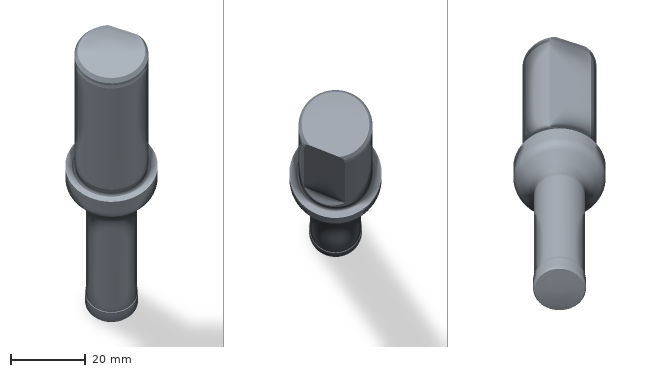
import cadquery as cq
import math

total_length = 110.0
shank_length = 49.8
collar_top = total_length - shank_length
collar_bottom = 55.0
head_length = 5.0

shank_radius = 20.0 / 2
groove_radius = 19.5 / 2
collar_radius = 25.0 / 2
stem_radius = 13.9 / 2
head_radius = 14.3 / 2

top_chamfer = 0.9
top_chamfer_height = 1.2
land_height = 0.3
groove_width = 2.0
groove_taper = 1.1
groove_corner = shank_radius - groove_radius

relief_width = 2.1
relief_taper = 0.7
relief_depth = 0.3
relief_fillet = 0.5
relief_outer_radius = 10.7

transition_angle = math.radians(45)
collar_arc_radius = 4.2
stem_arc_radius = 4.0

flat_offset = 8.0
flat_bottom = 65.3

head_chamfer = 0.4
head_chamfer_top = 1.0
point_height = 0.3


def arc_drop(radius, angle):
    """Axial distance covered by an arc that turns away from the axis direction."""
    return radius * math.sin(angle)


def arc_inset(radius, angle):
    """Radial distance covered by an arc that turns away from the axis direction."""
    return radius * (1 - math.cos(angle))


def revolve_about_z(profile):
    """Turn a closed profile in the XZ plane about the Z axis."""
    return profile.revolve(360, (0, 0, 0), (0, 1, 0))


def make_turned_holder():
    """Shank, collar and stem as one turned profile."""
    land_top = total_length - top_chamfer_height
    land_bottom = land_top - land_height
    groove_bottom = land_bottom - groove_width
    relief_top = collar_top + relief_width
    relief_floor = collar_top - relief_depth

    half_angle = transition_angle / 2
    collar_arc_middle = (
        collar_radius - arc_inset(collar_arc_radius, half_angle),
        collar_bottom - arc_drop(collar_arc_radius, half_angle),
    )
    cone_top = (
        collar_radius - arc_inset(collar_arc_radius, transition_angle),
        collar_bottom - arc_drop(collar_arc_radius, transition_angle),
    )
    cone_bottom_radius = stem_radius + arc_inset(stem_arc_radius, transition_angle)
    cone_height = (cone_top[0] - cone_bottom_radius) / math.tan(transition_angle)
    cone_bottom = (cone_bottom_radius, cone_top[1] - cone_height)
    stem_top = cone_bottom[1] - arc_drop(stem_arc_radius, transition_angle)
    stem_arc_middle = (
        stem_radius + arc_inset(stem_arc_radius, half_angle),
        stem_top + arc_drop(stem_arc_radius, half_angle),
    )

    profile = (
        cq.Workplane("XZ")
        .moveTo(0, total_length)
        .lineTo(shank_radius - top_chamfer, total_length)
        .lineTo(shank_radius, land_top)
        .lineTo(shank_radius, land_bottom)
        .lineTo(groove_radius, land_bottom - groove_corner)
        .lineTo(groove_radius, groove_bottom + groove_taper)
        .lineTo(shank_radius, groove_bottom)
        .lineTo(shank_radius, relief_top)
        .lineTo(groove_radius, relief_top - relief_taper)
        .lineTo(groove_radius, relief_floor + relief_fillet)
        .tangentArcPoint((groove_radius + relief_fillet, relief_floor), relative=False)
        .lineTo(relief_outer_radius, collar_top)
        .lineTo(collar_radius, collar_top)
        .lineTo(collar_radius, collar_bottom)
        .threePointArc(collar_arc_middle, cone_top)
        .lineTo(*cone_bottom)
        .threePointArc(stem_arc_middle, (stem_radius, stem_top))
        .lineTo(stem_radius, head_length)
        .lineTo(0, head_length)
        .close()
    )
    return revolve_about_z(profile)


def make_flat_cutter():
    """Material to remove above the drive flat and its sloping runout."""
    outer_offset = collar_radius
    runout_drop = outer_offset - flat_offset
    return (
        cq.Workplane("YZ")
        .moveTo(flat_offset, total_length)
        .lineTo(flat_offset, flat_bottom)
        .lineTo(outer_offset, flat_bottom - runout_drop)
        .lineTo(outer_offset, total_length)
        .close()
        .extrude(collar_radius, both=True)
    )


def make_cutting_head():
    """Short wider head on the stem end, with a chamfer and a shallow point."""
    profile = (
        cq.Workplane("XZ")
        .moveTo(0, head_length)
        .lineTo(head_radius, head_length)
        .lineTo(head_radius, head_chamfer_top)
        .lineTo(head_radius - head_chamfer, point_height)
        .lineTo(0, 0)
        .close()
    )
    return revolve_about_z(profile)


holder = make_turned_holder().cut(make_flat_cutter())
cutting_head = make_cutting_head()

result = cq.Compound.makeCompound([holder.val(), cutting_head.val()])